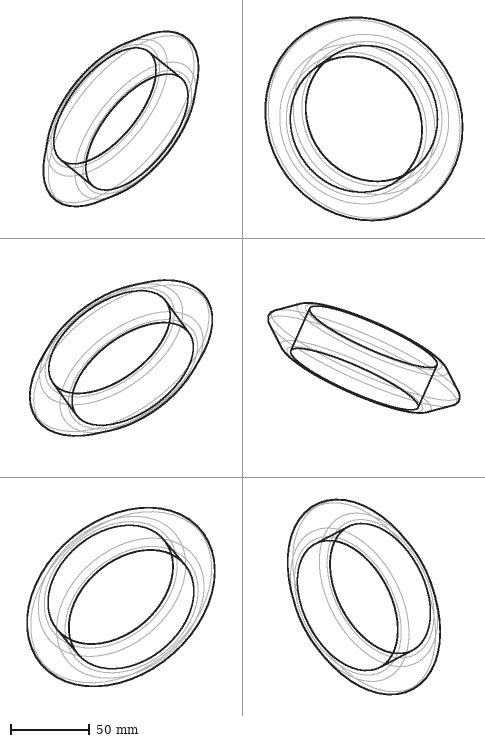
import cadquery as cq
import math

outer_radius = 66.5
bore_radius = 44.4
width = 30.0
flank_angle = 50.0
rim_round = 2.9
shoulder_round = 8.0

half_width = width / 2
slope = math.radians(flank_angle)

crest_radius = outer_radius + rim_round * (1 / math.cos(slope) - 1)
shoulder_radius = crest_radius - half_width * math.tan(slope)

crest_tangent_x = rim_round * math.sin(slope)
crest_tangent_radius = outer_radius - rim_round * (1 - math.cos(slope))

turn = math.pi / 2 - slope
setback = shoulder_round * math.tan(turn / 2)
face_tangent_radius = shoulder_radius - setback
flank_tangent_x = half_width - setback * math.cos(slope)
flank_tangent_radius = shoulder_radius + setback * math.sin(slope)
shoulder_mid_x = half_width - shoulder_round * (1 - math.cos(turn / 2))
shoulder_mid_radius = face_tangent_radius + shoulder_round * math.sin(turn / 2)

profile = (
    cq.Workplane("XY")
    .moveTo(-half_width, bore_radius)
    .lineTo(half_width, bore_radius)
    .lineTo(half_width, face_tangent_radius)
    .threePointArc((shoulder_mid_x, shoulder_mid_radius), (flank_tangent_x, flank_tangent_radius))
    .lineTo(crest_tangent_x, crest_tangent_radius)
    .threePointArc((0, outer_radius), (-crest_tangent_x, crest_tangent_radius))
    .lineTo(-flank_tangent_x, flank_tangent_radius)
    .threePointArc((-shoulder_mid_x, shoulder_mid_radius), (-half_width, face_tangent_radius))
    .close()
)

result = profile.revolve(360, (0, 0, 0), (1, 0, 0))